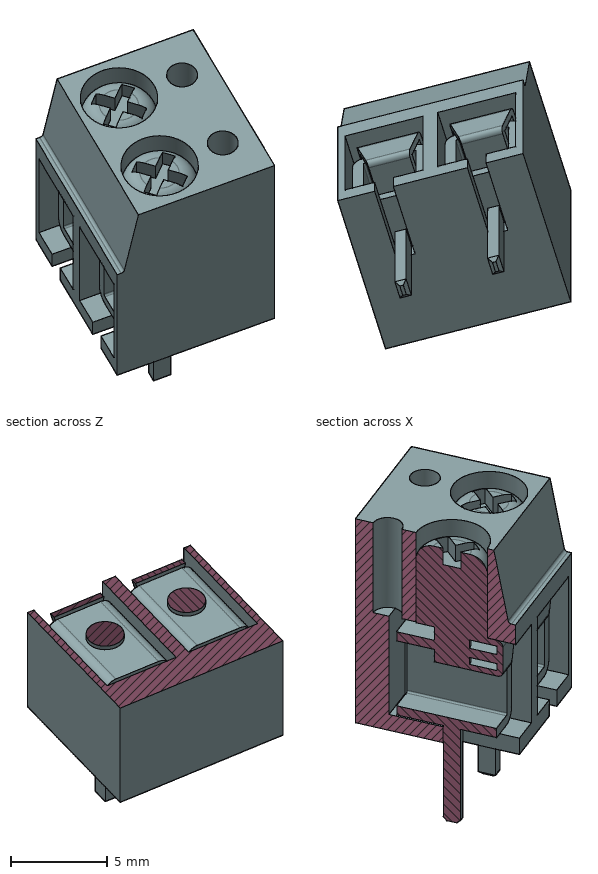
import cadquery as cq


pitch = 5.0
poles = 2
housing_width = pitch * poles
housing_depth = 9.0
total_height = 17.35
pin_drop = 4.75
housing_height = total_height - pin_drop
shelf_z = 8.3
shelf_depth = 0.38
top_setback = 1.21
shelf_fillet = 0.19

cavity_width = 4.2
cavity_floor = 1.0
cavity_ceiling = 7.06
cavity_depth = 7.11
floor_slot_width = 1.0

test_hole_diameter = 1.6
test_hole_y = 7.2

screw_y = 3.6
head_diameter = 4.0
head_bottom = 7.01
head_height = 5.0
head_top = head_bottom + head_height
head_round = 0.99
cross_length = 2.8
cross_width = 0.7
cross_depth = 1.0
shank_diameter = 2.0

cage_width = head_diameter
cage_front = 1.08
cage_back = 6.7
cage_bottom = 1.05
cage_top = 6.21
cage_wall = 0.59
cage_inner_fillet = 0.1
cage_outer_fillet = cage_wall + cage_inner_fillet

guard_thickness = 0.36
guard_front = cage_front - guard_thickness
guard_back = screw_y + shank_diameter / 2
guard_top = cavity_ceiling
guard_bottom = 4.85
guard_bend = 0.31
guard_top_width = 3.4
guard_bottom_width = 2.22

pin_width = 0.6
pin_depth = 0.99
pin_tip_chamfer = 0.2

pole_centers = [pitch * (i + 0.5) for i in range(poles)]


def box_between(x_center, width, y_range, z_range):
    """Box centred on x_center in X, spanning the given Y and Z ranges."""
    (y0, y1), (z0, z1) = y_range, z_range
    return (
        cq.Workplane("XY")
        .box(width, y1 - y0, z1 - z0, centered=(True, False, False))
        .translate((x_center, y0, z0))
    )


def cylinder(x_center, y_center, diameter, z0, z1):
    """Upright cylinder from z0 to z1."""
    return (
        cq.Workplane("XY", origin=(x_center, y_center, z0))
        .circle(diameter / 2)
        .extrude(z1 - z0)
    )


def housing_block():
    """Outer block with the sloped upper front and its filleted shelf."""
    block = (
        cq.Workplane("YZ")
        .moveTo(0, 0)
        .lineTo(0, shelf_z)
        .lineTo(shelf_depth, shelf_z)
        .lineTo(top_setback, housing_height)
        .lineTo(housing_depth, housing_height)
        .lineTo(housing_depth, 0)
        .close()
        .extrude(housing_width)
    )
    shelf_corner = cq.selectors.NearestToPointSelector((housing_width / 2, shelf_depth, shelf_z))
    return block.edges(shelf_corner).fillet(shelf_fillet)


def pole_openings(x):
    """Everything removed from the housing for the pole centred on x."""
    cavity = box_between(x, cavity_width, (0, cavity_depth), (cavity_floor, cavity_ceiling))
    pin_back = screw_y + pin_depth / 2
    floor_slot = box_between(x, floor_slot_width, (0, pin_back), (0, cavity_floor))
    screw_hole = cylinder(x, screw_y, head_diameter, cavity_ceiling, housing_height)
    test_hole = cylinder(x, test_hole_y, test_hole_diameter, cavity_ceiling, housing_height)
    return cavity.union(floor_slot).union(screw_hole).union(test_hole)


def make_housing():
    housing = housing_block()
    for x in pole_centers:
        housing = housing.cut(pole_openings(x))
    return housing


def make_screw(x):
    """Round-topped head with a cross recess, and the shank down to the wire guard."""
    head = cylinder(x, screw_y, head_diameter, head_bottom, head_top)
    head = head.faces(">Z").edges().fillet(head_round)
    for angle in (45, -45):
        recess = (
            cq.Workplane("XY", origin=(x, screw_y, head_top - cross_depth))
            .transformed(rotate=(0, 0, angle))
            .rect(cross_length, cross_width)
            .extrude(cross_depth)
        )
        head = head.cut(recess)
    return head.union(cylinder(x, screw_y, shank_diameter, guard_bottom, head_bottom))


def make_cage(x):
    """Rectangular tube, open to the front and back."""
    cage_y = (cage_front, cage_back)
    outer = box_between(x, cage_width, cage_y, (cage_bottom, cage_top))
    opening_z = (cage_bottom + cage_wall, cage_top - cage_wall)
    opening = box_between(x, cage_width - 2 * cage_wall, cage_y, opening_z)
    outer = outer.edges("|Y").fillet(cage_outer_fillet)
    opening = opening.edges("|Y").fillet(cage_inner_fillet)
    return outer.cut(opening)


def make_guard(x):
    """C-shaped strip: side profile trimmed to the tapered front outline."""
    guard = box_between(x, guard_top_width, (guard_front, guard_back), (guard_bottom, guard_top))
    guard = guard.faces("<Y").edges("|X").fillet(guard_bend)
    inner_z = (guard_bottom + guard_thickness, guard_top - guard_thickness)
    guard = guard.cut(box_between(x, guard_top_width, (cage_front, guard_back), inner_z))
    taper = (
        cq.Workplane("XZ")
        .polyline([
            (x - guard_top_width / 2, guard_top),
            (x + guard_top_width / 2, guard_top),
            (x + guard_bottom_width / 2, guard_bottom),
            (x - guard_bottom_width / 2, guard_bottom),
        ])
        .close()
        .extrude(-housing_depth)
    )
    return guard.intersect(taper)


def make_pin(x):
    """Solder pin with a chamfered tip, rising to the underside of the cage."""
    pin_y = (screw_y - pin_depth / 2, screw_y + pin_depth / 2)
    pin = box_between(x, pin_width, pin_y, (-pin_drop, cage_bottom))
    return pin.faces("<Z").edges().chamfer(pin_tip_chamfer)


def make_terminal(x):
    """One-piece terminal: screw, cage, wire guard and solder pin."""
    return make_cage(x).union(make_guard(x)).union(make_screw(x)).union(make_pin(x))


housing = make_housing()
terminals = [make_terminal(x) for x in pole_centers]
bodies = [body.solids().val() for body in (housing, *terminals)]
result = cq.Compound.makeCompound(bodies)